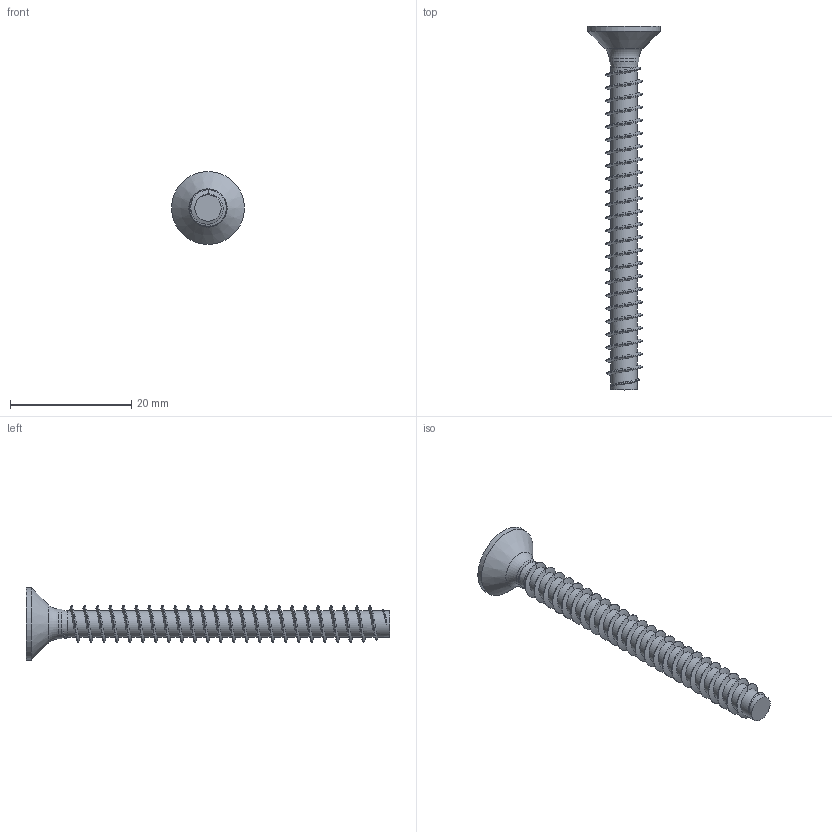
import math

import cadquery as cq

length = 60.0

head_radius = 6.0
rim_height = 0.85
cone_half_angle = math.radians(45)
neck_fillet_radius = 2.4
shank_radius = 2.45
shank_end = 5.9
taper_radius = 2.3
taper_length = 0.95

core_radius = 2.17

thread_radius = 3.0
pitch = 2.14
thread_turns = 25
thread_start = 5.9
run_in_turns = 0.75
run_out_turns = 1.25
crest_width = 0.1
flank_half_angle = math.radians(15)
root_overlap = 0.15
stations_per_turn = 16

root_radius = core_radius - root_overlap
root_half_width = crest_width / 2 + (thread_radius - root_radius) * math.tan(flank_half_angle)

thread_section = [
    (-root_half_width, root_radius),
    (-crest_width / 2, thread_radius),
    (crest_width / 2, thread_radius),
    (root_half_width, root_radius),
]


def make_body():
    """Revolve the head, the filleted neck, the shank and the core about Y."""
    neck_depth = rim_height + (head_radius - shank_radius) / math.tan(cone_half_angle)
    half_angle = cone_half_angle / 2
    tangent_length = neck_fillet_radius * math.tan(half_angle)
    cone_end = (
        shank_radius + tangent_length * math.sin(cone_half_angle),
        -neck_depth + tangent_length * math.cos(cone_half_angle),
    )
    fillet_end = (shank_radius, -neck_depth - tangent_length)
    fillet_middle = (
        shank_radius + neck_fillet_radius * (1 - math.cos(half_angle)),
        fillet_end[1] + neck_fillet_radius * math.sin(half_angle),
    )
    return (
        cq.Workplane("XY")
        .moveTo(0, 0)
        .lineTo(head_radius, 0)
        .lineTo(head_radius, -rim_height)
        .lineTo(*cone_end)
        .threePointArc(fillet_middle, fillet_end)
        .lineTo(shank_radius, -shank_end)
        .lineTo(taper_radius, -shank_end)
        .lineTo(core_radius, -shank_end - taper_length)
        .lineTo(core_radius, -length)
        .lineTo(0, -length)
        .close()
        .revolve(360, (0, 0, 0), (0, 1, 0))
    )


def helix_edge(corner, first_turn, last_turn):
    """Right-handed helical curve of one section corner, with turns counted from the -X side.

    Corners above the core rise from it over the run-in and sink back over the run-out.
    """
    axial_offset, full_radius = corner
    height = max(0, full_radius - core_radius)
    points = []
    steps = round((last_turn - first_turn) * stations_per_turn)
    for step in range(steps + 1):
        turn = first_turn + step / stations_per_turn
        fraction = min(1, turn / run_in_turns, (thread_turns - turn) / run_out_turns)
        radius = full_radius - (1 - fraction) * height
        angle = 2 * math.pi * turn
        depth = thread_start + pitch * turn + axial_offset
        points.append(cq.Vector(-radius * math.cos(angle), -depth, -radius * math.sin(angle)))
    return cq.Edge.makeSpline(points)


def make_thread_piece(first_turn, last_turn):
    """Solid stretch of the thread ridge, with ruled sides and flat end caps."""
    edges = [helix_edge(corner, first_turn, last_turn) for corner in thread_section]
    faces = []
    for index, edge in enumerate(edges):
        faces.append(cq.Face.makeRuledSurface(edges[index - 1], edge))
    starts = [edge.startPoint() for edge in edges]
    ends = [edge.endPoint() for edge in edges]
    for cap_points in (starts, ends):
        faces.append(cq.Face.makeFromWires(cq.Wire.makePolygon(cap_points, close=True)))
    return cq.Solid.makeSolid(cq.Shell.makeShell(faces))


def add_thread(screw):
    """Join the thread to the screw: its run-in, its full-height turns and its run-out."""
    run_out_start = thread_turns - run_out_turns
    full_turns = round(run_out_start - run_in_turns)
    stretches = [(0, run_in_turns)]
    for index in range(full_turns):
        stretches.append((run_in_turns + index, run_in_turns + index + 1))
    stretches.append((run_out_start, thread_turns))
    for first_turn, last_turn in stretches:
        screw = screw.union(cq.Workplane(make_thread_piece(first_turn, last_turn)))
    return screw


result = add_thread(make_body())